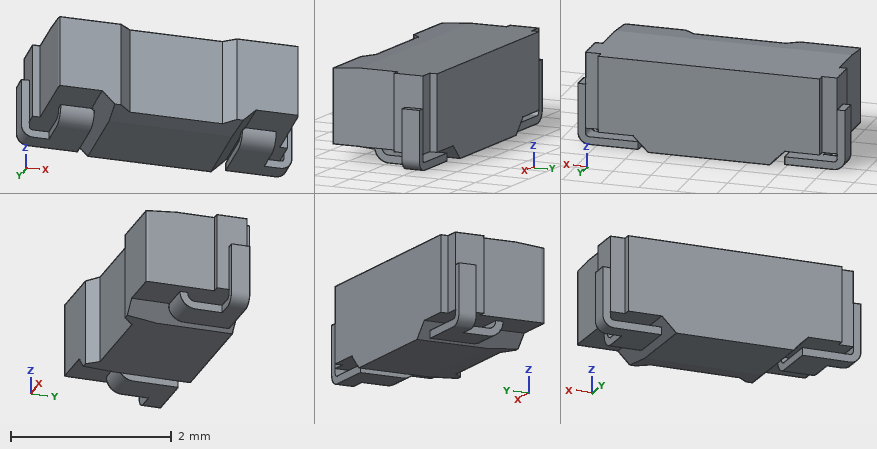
import cadquery as cq

overall_length = 3.5
depth = 1.4
overall_height = 1.21

sheet = 0.1
strip_width = 0.24
strip_back = 1.3
upright_top = 0.79
upright_bend = 0.15
foot_outer = 1.393
foot_width = 0.435
foot_front = 0.5
toe_bend = 2 * sheet

housing_bottom = 0.01
shelf_height = 0.21
body_width = 3.1
ear_width = overall_length - 2 * sheet
ear_front = 0.9
back_width = 2.9
nose_length = 0.4
nose_drop = 0.035
corner_width = 0.01
corner_length = 0.035
recess_depth = 0.14
recess_floor_width = 1.2
recess_mouth_width = 1.5
keel_bottom_width = 1.592
keel_slope = shelf_height - housing_bottom
keel_top_width = keel_bottom_width + 2 * keel_slope


def mirrored(half_points):
    """Complete an outline from its +X half, listed from front (or bottom) to back (or top)."""
    return half_points + [(-x, y) for x, y in reversed(half_points)]


def plan_block():
    """Full-height block with ears, narrowed rear, bevelled corners and the front recess."""
    half_plan = [
        (recess_floor_width / 2, recess_depth),
        (recess_mouth_width / 2, 0),
        (body_width / 2 - corner_width, 0),
        (body_width / 2, corner_length),
        (body_width / 2, ear_front),
        (ear_width / 2, ear_front),
        (ear_width / 2, strip_back),
        (back_width / 2, strip_back),
        (back_width / 2, depth),
    ]
    return cq.Workplane("XY").polyline(mirrored(half_plan)).close().extrude(overall_height)


def side_envelope():
    """Side outline in the YZ plane with the tapered nose, spanning the whole length."""
    return (
        cq.Workplane("YZ")
        .moveTo(0, housing_bottom + nose_drop)
        .lineTo(nose_length, housing_bottom)
        .lineTo(depth, housing_bottom)
        .lineTo(depth, overall_height)
        .lineTo(nose_length, overall_height)
        .lineTo(0, overall_height - nose_drop)
        .close()
        .extrude(overall_length / 2, both=True)
    )


def front_envelope():
    """Front outline in the XZ plane with the keel below the two shelves."""
    half_front = [
        (keel_bottom_width / 2, housing_bottom),
        (keel_top_width / 2, shelf_height),
        (overall_length / 2, shelf_height),
        (overall_length / 2, overall_height),
    ]
    return cq.Workplane("XZ").polyline(mirrored(half_front)).close().extrude(-depth)


def make_terminal(side):
    """Upright, strip below it and wide foot with an upturned toe; side is -1 or 1, the sign of its X."""
    end = -overall_length / 2
    foot_inner = -foot_outer + foot_width

    upright = (
        cq.Workplane("XZ", origin=(0, strip_back, 0))
        .moveTo(end, upright_top)
        .lineTo(end, upright_bend)
        .radiusArc((end + upright_bend, 0), -upright_bend)
        .lineTo(-foot_outer, 0)
        .lineTo(-foot_outer, sheet)
        .lineTo(end + upright_bend, sheet)
        .radiusArc((end + sheet, upright_bend), upright_bend - sheet)
        .lineTo(end + sheet, upright_top)
        .close()
        .extrude(strip_width)
    )
    foot = (
        cq.Workplane("YZ", origin=(-foot_outer, 0, 0))
        .moveTo(strip_back, 0)
        .lineTo(foot_front + toe_bend, 0)
        .radiusArc((foot_front, toe_bend), toe_bend)
        .lineTo(foot_front, shelf_height)
        .lineTo(foot_front + sheet, shelf_height)
        .lineTo(foot_front + sheet, toe_bend)
        .radiusArc((foot_front + toe_bend, sheet), -(toe_bend - sheet))
        .lineTo(strip_back, sheet)
        .close()
        .extrude(foot_inner + foot_outer)
    )
    terminal = upright.union(foot)
    if side > 0:
        terminal = terminal.mirror("YZ")
    return terminal


def make_housing(terminals):
    """Housing with a matching recess where each toe enters the flank of the keel."""
    housing = plan_block().intersect(side_envelope()).intersect(front_envelope())
    for terminal in terminals:
        housing = housing.cut(terminal)
    return housing


terminals = []
for side in (-1, 1):
    terminals.append(make_terminal(side))

housing = make_housing(terminals)

result = cq.Compound.makeCompound([housing.val(), *[terminal.val() for terminal in terminals]])